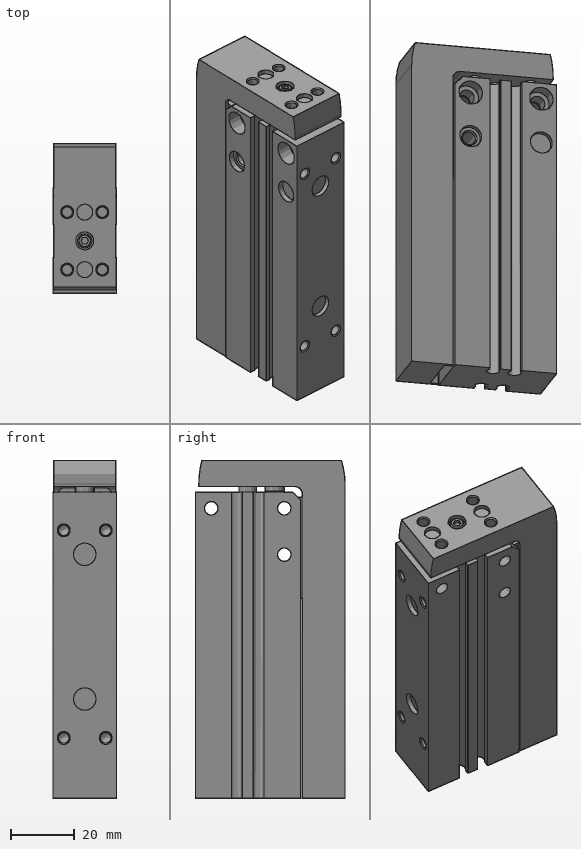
import cadquery as cq
import math

height = 106.0
depth = 47.0

body_width = 20.0
body_depth = 33.0
body_height = 96.0
body_chamfer = 2.4

groove_centers_y = [12.9, 19.9]
groove_opening = 3.3
groove_bore = 4.1
groove_lip = 1.0
strip_inset = 0.3
strip_chamfer = 0.2

guide_bottom = 62.8
guide_top = 94.4
guide_width = 16.5
guide_back = 35.8
cap_length = 5.0
cap_chamfer = 1.6

table_width = 19.5
table_front = 1.1
table_inner_face = 33.5
arm_underside = 97.7
inner_fillet = 2.3
lean_bottom = 98.6
lean_front = 1.0
lean_back = 1.2
lean_bulge_front = lean_front / 4
lean_bulge_back = lean_back / 4
slot_width = 17.0
slot_floor = 36.0
slot_top = 97.3
slot_corner = 2.0

rod_y = 16.4
rod_diameter = 5.6
rod_insertion = 10.0
bumper_y = 24.9
bumper_diameter = 6.0
bumper_chamfer = 0.3

screw_hole_diameter = 5.6
screw_recess = 1.5
screw_head_diameter = 4.5
screw_head_height = 1.1
screw_head_chamfer = 0.4
screw_socket_corners = 2.3
screw_socket_depth = 1.1

tap_drill = 3.3
tap_mouth = 4.0
drill_tip_angle = 118.0

top_hole_x = 5.5
top_hole_pitch_y = 18.0
dowel_diameter = 5.0
dowel_depth = 1.5

front_tap_x = 6.6
front_tap_z = [19.0, 84.1]
front_tap_depth = 6.0
port_diameter = 7.0
port_depth = 1.5
front_port_z = [31.2, 76.5]

side_back_y = 27.9
side_front_y = 5.0
mount_z = 91.0
side_port_z = 76.4
mount_bore = 7.5
mount_bore_depth = 4.8
mount_hole = 4.8
mount_thread = 4.1
side_port_depth = 1.8
side_port_mouth = 5.0


def cylinder(diameter, length, start, direction):
    """Cylinder growing from the centre of its first end face along a direction."""
    return cq.Workplane(cq.Solid.makeCylinder(diameter / 2, length, cq.Vector(*start), cq.Vector(*direction)))


def box(x_range, y_range, z_range):
    """Box spanning the given low and high limits."""
    size = [high - low for low, high in (x_range, y_range, z_range)]
    corner = (x_range[0], y_range[0], z_range[0])
    return cq.Workplane("XY").box(*size, centered=False).translate(corner)


def tapped_hole(full_depth, start, direction):
    """Hole drilled to a full-width depth, with a conical tip beyond it and a 45 degree countersunk mouth."""
    mouth = tap_mouth / 2
    drill = tap_drill / 2
    tip = drill / math.tan(math.radians(drill_tip_angle / 2))
    plane = cq.Plane(origin=start, normal=direction)
    profile = [
        (0, 0),
        (mouth, 0),
        (drill, mouth - drill),
        (drill, full_depth),
        (0, full_depth + tip),
    ]
    hole = cq.Workplane("XZ").polyline(profile).close().revolve(360, (0, 0), (0, 1))
    return cq.Workplane(hole.val().moved(plane.location))


def sensor_grooves():
    """Keyhole grooves along both sides, and the shallow recess of the strip between them."""
    recess_front = groove_centers_y[0] - groove_opening / 2
    recess_back = groove_centers_y[1] + groove_opening / 2
    side = body_width / 2
    bore_center_x = -side + groove_lip + groove_bore / 2
    cuts = box((-side, -side + strip_inset), (recess_front, recess_back), (0, body_height))
    for y in groove_centers_y:
        opening = (y - groove_opening / 2, y + groove_opening / 2)
        cuts = cuts.union(box((-side, bore_center_x), opening, (0, body_height)))
        cuts = cuts.union(cylinder(groove_bore, body_height, (bore_center_x, y, 0), (0, 0, 1)))
    return cuts.union(cuts.mirror("YZ"))


def chamfer_strips(body):
    """Break the outer corners of the strip between the grooves, on both sides of the body."""
    strip_front = groove_centers_y[0] + groove_opening / 2
    strip_back = groove_centers_y[1] - groove_opening / 2
    strip_x = body_width / 2 - strip_inset
    margin = strip_chamfer / 2
    for x in (-strip_x, strip_x):
        corners = cq.selectors.BoxSelector(
            (x - margin, strip_front - margin, 0),
            (x + margin, strip_back + margin, body_height),
        )
        body = body.edges("|Z").edges(corners).chamfer(strip_chamfer)
    return body


def guide_block():
    """Block rooted in the back of the body, its end caps narrowed by chamfered corners."""
    half = guide_width / 2
    root = body_depth - body_chamfer
    block = box((-half, half), (root, guide_back), (guide_bottom + cap_length, guide_top - cap_length))
    for cap_bottom in (guide_bottom, guide_top - cap_length):
        cap = box((-half, half), (root, guide_back), (cap_bottom, cap_bottom + cap_length))
        block = block.union(cap.edges("|Z and >Y").chamfer(cap_chamfer))
    return block


def make_body():
    half = body_width / 2
    body = box((-half, half), (0, body_depth), (0, body_height))
    body = body.edges(">Y and >Z").chamfer(body_chamfer)
    body = body.cut(sensor_grooves())
    body = chamfer_strips(body).union(guide_block())

    for z in front_port_z:
        body = body.cut(cylinder(port_diameter, port_depth, (0, 0, z), (0, 1, 0)))
    for z in front_tap_z:
        for x in (-front_tap_x, front_tap_x):
            body = body.cut(tapped_hole(front_tap_depth, (x, 0, z), (0, 1, 0)))

    inward = (1, 0, 0)
    for y in (side_front_y, side_back_y):
        body = body.cut(cylinder(mount_bore, mount_bore_depth, (-half, y, mount_z), inward))
        body = body.cut(cylinder(mount_hole, half, (-half, y, mount_z), inward))
        body = body.cut(cylinder(mount_thread, body_width, (-half, y, mount_z), inward))
        body = body.cut(cylinder(port_diameter, side_port_depth, (-half, y, side_port_z), inward))

    port_floor = (-half + side_port_depth, side_back_y, side_port_z)
    mouth = side_port_mouth / 2
    thread = mount_thread / 2
    countersink = cq.Solid.makeCone(mouth, thread, mouth - thread, cq.Vector(*port_floor), cq.Vector(*inward))
    body = body.cut(cq.Workplane(countersink))
    body = body.cut(cylinder(mount_thread, body_width, port_floor, inward))

    return body.cut(cylinder(rod_diameter, rod_insertion, (0, rod_y, body_height), (0, 0, -1)))


def table_outline():
    """L-shaped plate whose outer top corners lean inwards along shallow arcs."""
    lean_middle = (lean_bottom + height) / 2
    outline = (
        cq.Workplane("YZ")
        .moveTo(table_inner_face, 0)
        .lineTo(depth, 0)
        .lineTo(depth, lean_bottom)
        .threePointArc(
            (depth - lean_back / 2 + lean_bulge_back, lean_middle),
            (depth - lean_back, height),
        )
        .lineTo(table_front + lean_front, height)
        .threePointArc(
            (table_front + lean_front / 2 - lean_bulge_front, lean_middle),
            (table_front, lean_bottom),
        )
        .lineTo(table_front, arm_underside)
        .lineTo(table_inner_face - inner_fillet, arm_underside)
        .radiusArc((table_inner_face, arm_underside - inner_fillet), inner_fillet)
        .close()
    )
    return outline.extrude(table_width / 2, both=True)


def guide_slot():
    """Slot in the inner face of the table that the guide block runs in."""
    half = slot_width / 2
    slot = box((-half, half), (table_inner_face - inner_fillet, slot_floor), (0, slot_top))
    return slot.edges("|Y and >Z").fillet(slot_corner)


def make_table():
    table = table_outline().cut(guide_slot())

    for y in (rod_y - top_hole_pitch_y / 2, rod_y + top_hole_pitch_y / 2):
        table = table.cut(cylinder(dowel_diameter, dowel_depth, (0, y, height), (0, 0, -1)))
        for x in (-top_hole_x, top_hole_x):
            table = table.cut(tapped_hole(height - arm_underside, (x, y, height), (0, 0, -1)))

    recess_floor = height - screw_recess
    table = table.cut(cylinder(screw_hole_diameter, screw_recess, (0, rod_y, height), (0, 0, -1)))
    head = cylinder(screw_head_diameter, screw_head_height, (0, rod_y, recess_floor), (0, 0, 1))
    table = table.union(head.faces(">Z").edges().chamfer(screw_head_chamfer))
    socket_floor = recess_floor + screw_head_height - screw_socket_depth
    socket = cq.Workplane("XY").polygon(6, screw_socket_corners).extrude(screw_socket_depth)
    table = table.cut(socket.translate((0, rod_y, socket_floor)))

    gap = arm_underside - body_height
    table = table.union(cylinder(rod_diameter, gap + rod_insertion, (0, rod_y, arm_underside), (0, 0, -1)))
    bumper = cylinder(bumper_diameter, gap, (0, bumper_y, arm_underside), (0, 0, -1))
    return table.union(bumper.faces("<Z").edges().chamfer(bumper_chamfer))


body = make_body()
table = make_table()

result = cq.Compound.makeCompound([body.solids().val(), table.solids().val()])